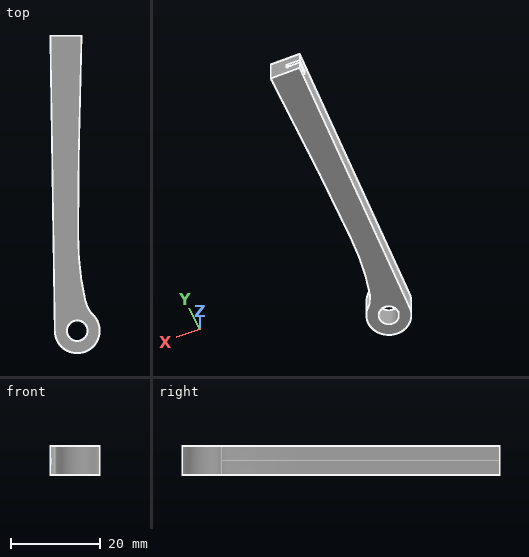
import cadquery as cq
import math

thickness = 6.5
eye_radius = 5.0
bore_diameter = 4.5
bar_end_y = 70.6 - eye_radius

end_left_x = eye_radius - 11.0
end_right_x = 1.0
waist_x = 0.3
waist_y = 29.65
neck_x = 1.1
neck_y = 10.2
end_direction = (-0.02, -1.0)
waist_direction = (0.0, -1.0)
neck_direction = (0.18, -1.0)
joint_direction = (1.0, -1.0)
eye_joint_angle = 48.0

slot_height = 1.05
slot_mid_z = -0.2
slot_length = 3.2
slot_depth = slot_length


def eye_point(angle):
    """Point on the rim of the eye, angle in degrees from +X."""
    turn = math.radians(angle)
    return eye_radius * math.cos(turn), eye_radius * math.sin(turn)


def lever_body():
    """Outline of bar and eye, extruded about the mid plane."""
    return (
        cq.Workplane("XY")
        .moveTo(-eye_radius, 0)
        .lineTo(end_left_x, bar_end_y)
        .lineTo(end_right_x, bar_end_y)
        .spline(
            [(waist_x, waist_y), (neck_x, neck_y), eye_point(eye_joint_angle)],
            tangents=[end_direction, waist_direction, neck_direction, joint_direction],
            includeCurrent=True,
        )
        .threePointArc((0, -eye_radius), (-eye_radius, 0))
        .close()
        .extrude(thickness / 2, both=True)
    )


def pivot_bore():
    return cq.Workplane("XY").circle(bore_diameter / 2).extrude(thickness, both=True)


def corner_slot():
    """Triangular wedge that opens on the left edge and the free end."""
    left_slope = (end_left_x + eye_radius) / bar_end_y
    start_y = bar_end_y - slot_length
    start_x = -eye_radius + left_slope * start_y
    return (
        cq.Workplane("XY", origin=(0, 0, slot_mid_z))
        .moveTo(start_x, start_y)
        .lineTo(end_left_x, bar_end_y)
        .lineTo(end_left_x + slot_depth, bar_end_y)
        .close()
        .extrude(slot_height / 2, both=True)
    )


result = lever_body().cut(pivot_bore()).cut(corner_slot())